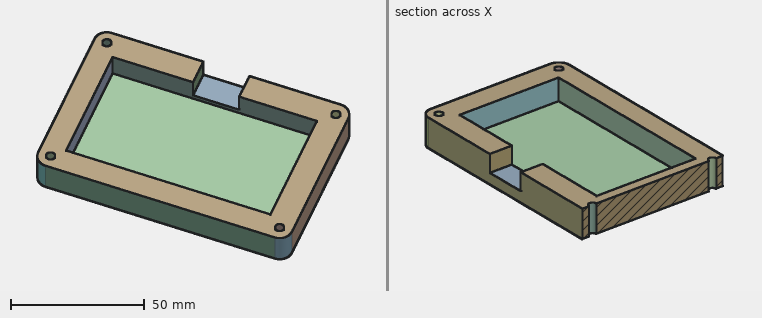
import cadquery as cq

LENGTH = 101.96
WIDTH = 67.27
HEIGHT = 13.0
CORNER_RADIUS = 5.0

LEFT_WALL = 9.48
RIGHT_WALL = 10.48
FRONT_WALL = 9.5
BACK_WALL = 10.5
POCKET_DEPTH = 10.0
POCKET_LENGTH = LENGTH - LEFT_WALL - RIGHT_WALL
POCKET_WIDTH = WIDTH - FRONT_WALL - BACK_WALL

NOTCH_LEFT = 41.8
NOTCH_LENGTH = 18.5
NOTCH_DEPTH = 8.0

HOLE_DIAMETER = 3.4
HOLE_INSET = CORNER_RADIUS


def corner_box(x, y, z, length, width, height):
    """Box whose lowest corner sits at (x, y, z)."""
    return cq.Workplane("XY").box(length, width, height, centered=False).translate((x, y, z))


def make_block():
    return corner_box(0, 0, 0, LENGTH, WIDTH, HEIGHT).edges("|Z").fillet(CORNER_RADIUS)


def make_pocket():
    floor = HEIGHT - POCKET_DEPTH
    return corner_box(LEFT_WALL, FRONT_WALL, floor, POCKET_LENGTH, POCKET_WIDTH, POCKET_DEPTH)


def make_notch():
    back_wall_inner_face = WIDTH - BACK_WALL
    floor = HEIGHT - NOTCH_DEPTH
    return corner_box(NOTCH_LEFT, back_wall_inner_face, floor, NOTCH_LENGTH, BACK_WALL, NOTCH_DEPTH)


def make_screw_holes():
    centres = [
        (x, y)
        for x in (HOLE_INSET, LENGTH - HOLE_INSET)
        for y in (HOLE_INSET, WIDTH - HOLE_INSET)
    ]
    return cq.Workplane("XY").pushPoints(centres).circle(HOLE_DIAMETER / 2).extrude(HEIGHT)


tray = make_block().cut(make_pocket()).cut(make_notch()).cut(make_screw_holes())
result = tray.translate((-LENGTH / 2, -WIDTH / 2, 0))